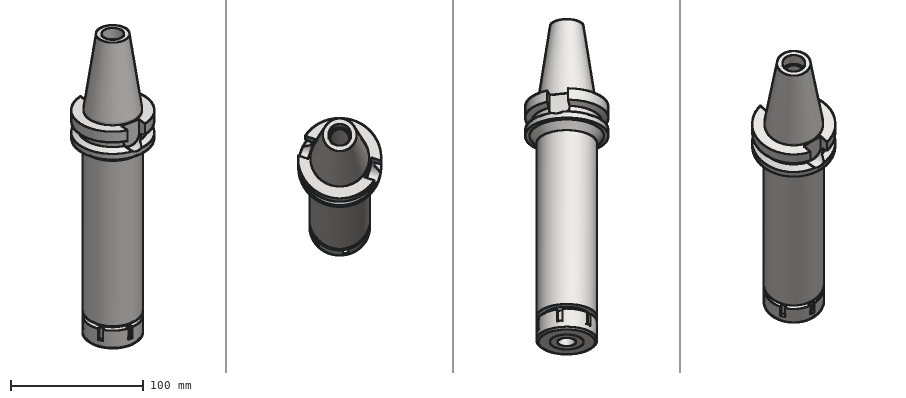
import cadquery as cq
import math

TOTAL_HEIGHT = 265.5
GAUGE_Z = 200.0
FLANGE_TOP_Z = 198.0
GROOVE_TOP_Z = 188.5
GROOVE_FLOOR_TOP_Z = 185.8
GROOVE_FLOOR_BOTTOM_Z = 181.3
GROOVE_BOTTOM_Z = 178.3
FLANGE_BOTTOM_Z = 173.3
SHANK_TOP_Z = 167.0
SHANK_BOTTOM_Z = 20.7

TAPER_TOP_RADIUS = 12.7
GAUGE_RADIUS = 44.3 / 2
FLANGE_RADIUS = 63.0 / 2
GROOVE_FLOOR_RADIUS = 26.3
FLANGE_CONE_RADIUS = 28.0
SHANK_RADIUS = 46.0 / 2
NOSE_RADIUS = 18.0

BORE_RADIUS = 14.0 / 2
MOUTH_RADIUS = 8.5
MOUTH_DEPTH = 9.8

DRIVE_SLOT_WIDTH = 16.2
DRIVE_SLOT_BOTTOM_Z = 177.3
DRIVE_SLOT_FLOOR_X = 22.5

NUT_RADIUS = SHANK_RADIUS
NUT_HEIGHT = 16.7
NUT_CHAMFER = 1.5
NUT_FLOOR = 4.2
SPANNER_SLOT_COUNT = 6
SPANNER_SLOT_WIDTH = 4.0
SPANNER_SLOT_DEPTH = 2.7
SPANNER_SLOT_BOTTOM_Z = 7.0

COLLET_FACE_RADIUS = 12.7
COLLET_LARGE_RADIUS = 15.5
COLLET_LENGTH = 39.8
COLLET_HALF_ANGLE = 8.0
COLLET_SMALL_RADIUS = COLLET_LARGE_RADIUS - (COLLET_LENGTH - NUT_FLOOR) * math.tan(
    math.radians(COLLET_HALF_ANGLE)
)


def revolve_profile(points):
    """Revolve a closed (radius, height) outline about the Z axis."""
    return cq.Workplane("XZ").polyline(points).close().revolve(360, (0, 0, 0), (0, 1, 0))


def cylinder(radius, bottom_z, top_z):
    return cq.Workplane("XY").workplane(offset=bottom_z).circle(radius).extrude(top_z - bottom_z)


def drive_slot(side):
    """Round-bottomed slot cutter for the flange, on the +X (1) or -X (-1) side."""
    half_width = DRIVE_SLOT_WIDTH / 2
    arc_centre_z = DRIVE_SLOT_BOTTOM_Z + half_width
    return (
        cq.Workplane("YZ", origin=(side * DRIVE_SLOT_FLOOR_X, 0, 0))
        .moveTo(-half_width, FLANGE_TOP_Z)
        .lineTo(-half_width, arc_centre_z)
        .threePointArc((0, DRIVE_SLOT_BOTTOM_Z), (half_width, arc_centre_z))
        .lineTo(half_width, FLANGE_TOP_Z)
        .close()
        .extrude(side * FLANGE_RADIUS)
    )


def collet_blank():
    """Collet without its bore; it also shapes the seat in the holder and the nut."""
    return revolve_profile([
        (0, 0),
        (COLLET_FACE_RADIUS, 0),
        (COLLET_FACE_RADIUS, NUT_FLOOR),
        (COLLET_LARGE_RADIUS, NUT_FLOOR),
        (COLLET_SMALL_RADIUS, COLLET_LENGTH),
        (0, COLLET_LENGTH),
    ])


def make_holder():
    body = revolve_profile([
        (0, NUT_FLOOR),
        (NOSE_RADIUS, NUT_FLOOR),
        (NOSE_RADIUS, SHANK_BOTTOM_Z),
        (SHANK_RADIUS, SHANK_BOTTOM_Z),
        (SHANK_RADIUS, SHANK_TOP_Z),
        (FLANGE_CONE_RADIUS, FLANGE_BOTTOM_Z),
        (FLANGE_RADIUS, FLANGE_BOTTOM_Z),
        (FLANGE_RADIUS, GROOVE_BOTTOM_Z),
        (GROOVE_FLOOR_RADIUS, GROOVE_FLOOR_BOTTOM_Z),
        (GROOVE_FLOOR_RADIUS, GROOVE_FLOOR_TOP_Z),
        (FLANGE_RADIUS, GROOVE_TOP_Z),
        (FLANGE_RADIUS, FLANGE_TOP_Z),
        (GAUGE_RADIUS, FLANGE_TOP_Z),
        (GAUGE_RADIUS, GAUGE_Z),
        (TAPER_TOP_RADIUS, TOTAL_HEIGHT),
        (0, TOTAL_HEIGHT),
    ])
    for side in (-1, 1):
        body = body.cut(drive_slot(side))
    body = body.cut(cylinder(BORE_RADIUS, 0, TOTAL_HEIGHT))
    body = body.cut(cylinder(MOUTH_RADIUS, TOTAL_HEIGHT - MOUTH_DEPTH, TOTAL_HEIGHT))
    return body.cut(collet_blank())


def make_nut():
    body = cylinder(NUT_RADIUS, 0, NUT_HEIGHT).faces("<Z").edges().chamfer(NUT_CHAMFER)
    body = body.cut(cylinder(NOSE_RADIUS, NUT_FLOOR, NUT_HEIGHT))
    body = body.cut(cylinder(COLLET_FACE_RADIUS, 0, NUT_FLOOR))
    slot = cq.Workplane("XY").box(
        2 * SPANNER_SLOT_DEPTH,
        SPANNER_SLOT_WIDTH,
        NUT_HEIGHT - SPANNER_SLOT_BOTTOM_Z,
        centered=(True, True, False),
    ).translate((NUT_RADIUS, 0, SPANNER_SLOT_BOTTOM_Z))
    for index in range(SPANNER_SLOT_COUNT):
        angle = index * 360 / SPANNER_SLOT_COUNT
        body = body.cut(slot.rotate((0, 0, 0), (0, 0, 1), angle))
    return body


def make_collet():
    return collet_blank().cut(cylinder(BORE_RADIUS, 0, COLLET_LENGTH))


holder = make_holder()
nut = make_nut()
collet = make_collet()

result = cq.Compound.makeCompound([holder.val(), nut.val(), collet.val()])